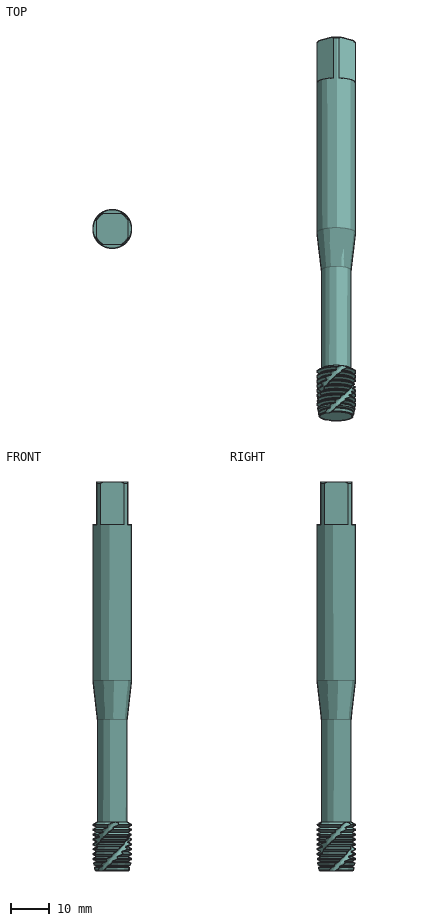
import cadquery as cq
import math

total_length = 100.0

shank_diameter = 10.0
neck_diameter = 7.7
taper_bottom = 39.0
taper_top = 49.0

square_width = 8.0
square_length = 11.0
end_chamfer = 0.4

thread_diameter = 10.0
thread_pitch = 1.25
thread_count = 10
root_diameter = 8.47
crest_width = thread_pitch / 8
flank_angle = 30.0
flank_slope = math.tan(math.radians(flank_angle))
last_crest = (thread_count - 0.5) * thread_pitch

head_length = last_crest + crest_width / 2 + flank_slope * (thread_diameter - neck_diameter) / 2

lead_length = 3.2
tip_diameter = 8.8

flute_count = 3
flute_lead = 25.5
flute_floor_radius = 3.95
flute_mouth_width = 2.8
flute_start_angle = -135.0


def make_shank():
    """Round shank with a slimmer neck below it and a drive square on top."""
    shank_radius = shank_diameter / 2
    neck_radius = neck_diameter / 2
    shank = (
        cq.Workplane("XZ")
        .moveTo(0, head_length)
        .lineTo(neck_radius, head_length)
        .lineTo(neck_radius, taper_bottom)
        .lineTo(shank_radius, taper_top)
        .lineTo(shank_radius, total_length - end_chamfer)
        .lineTo(shank_radius - end_chamfer, total_length)
        .lineTo(0, total_length)
        .close()
        .revolve(360, (0, 0, 0), (0, 1, 0))
    )
    flats = (
        cq.Workplane("XY", origin=(0, 0, total_length - square_length))
        .rect(2 * shank_diameter, 2 * shank_diameter)
        .rect(square_width, square_width)
        .extrude(square_length)
    )
    return shank.cut(flats)


def make_threaded_blank():
    """Stack of ring-shaped thread ridges with flat crests and roots."""
    root_radius = root_diameter / 2
    crest_radius = thread_diameter / 2
    half_crest = crest_width / 2
    half_base = half_crest + flank_slope * (crest_radius - root_radius)
    profile = cq.Workplane("XZ").moveTo(0, 0).lineTo(root_radius, 0)
    for ridge in range(thread_count):
        crest = (ridge + 0.5) * thread_pitch
        profile = (
            profile.lineTo(root_radius, crest - half_base)
            .lineTo(crest_radius, crest - half_crest)
            .lineTo(crest_radius, crest + half_crest)
        )
        if ridge < thread_count - 1:
            profile = profile.lineTo(root_radius, crest + half_base)
    return (
        profile.lineTo(neck_diameter / 2, head_length)
        .lineTo(0, head_length)
        .close()
        .revolve(360, (0, 0, 0), (0, 1, 0))
    )


def make_lead_envelope():
    """Cylinder with a tapered lower end that trims the first ridges."""
    envelope_radius = thread_diameter / 2
    return (
        cq.Workplane("XZ")
        .lineTo(tip_diameter / 2, 0)
        .lineTo(envelope_radius, lead_length)
        .lineTo(envelope_radius, head_length)
        .lineTo(0, head_length)
        .close()
        .revolve(360, (0, 0, 0), (0, 1, 0))
    )


def make_flute(start_angle):
    """Helical cutter with a rounded floor, reaching out past the thread crests."""
    mouth_radius = thread_diameter / 2
    half_mouth = flute_mouth_width / 2
    clearance = 1.0
    return (
        cq.Workplane("XY")
        .moveTo(mouth_radius, -half_mouth)
        .lineTo(mouth_radius + clearance, -half_mouth)
        .lineTo(mouth_radius + clearance, half_mouth)
        .lineTo(mouth_radius, half_mouth)
        .threePointArc((flute_floor_radius, 0), (mouth_radius, -half_mouth))
        .close()
        .twistExtrude(head_length, 360 * head_length / flute_lead)
        .rotate((0, 0, 0), (0, 0, 1), start_angle)
    )


def make_head():
    """Threaded cutting head with its lead taper and flutes."""
    head = make_threaded_blank().intersect(make_lead_envelope())
    for index in range(flute_count):
        head = head.cut(make_flute(flute_start_angle + index * 360 / flute_count))
    return head


shank = make_shank()
head = make_head()

result = cq.Compound.makeCompound([shank.val(), head.val()])